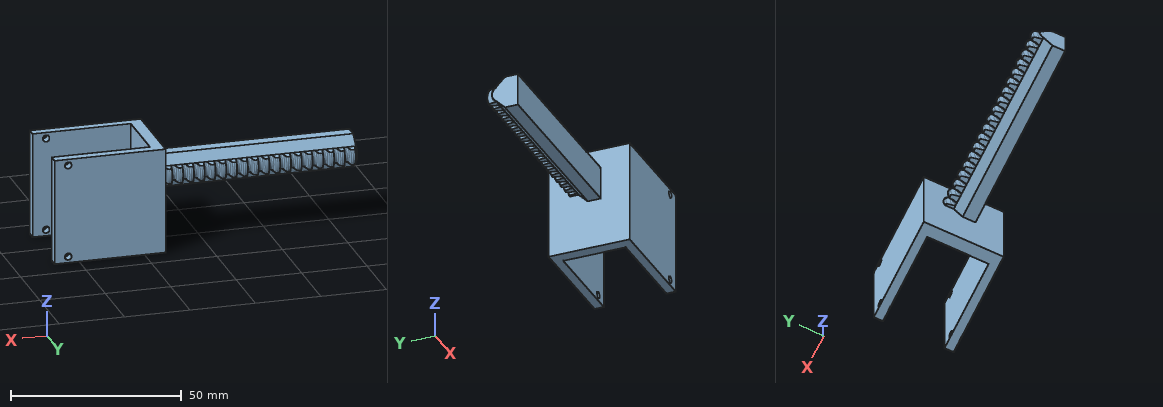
import cadquery as cq
import math

overall_length = 95.0
fork_width = 26.0
fork_height = 32.5
fork_length = 34.0
back_thickness = 4.0
arm_thickness = 3.0

pin_hole_diameter = 2.0
pin_hole_end_offset = 4.2
pin_hole_edge_offset = 1.9

bar_length = overall_length - fork_length
bar_height = 10.4
bar_back_y = 9.2
bar_side_depth = 4.2
bar_root_depth = 8.4
bar_center_z = 21.0

root_radius = 2.8
tooth_height = 2.1
tip_radius = root_radius + tooth_height
rack_face_width = 4.7
tooth_count = 19
tooth_pitch = bar_length / (tooth_count - 0.5)
tooth_tip_width = 1.2
tooth_root_width = 2.2
tooth_fillet = 0.5

bar_half_height = bar_height / 2
face_half_width = rack_face_width / 2
rack_axis_y = bar_back_y + bar_root_depth - root_radius
slope_end_y = rack_axis_y + math.sqrt(root_radius**2 - face_half_width**2)


def make_fork():
    block = cq.Workplane("XY").box(fork_length, fork_width, fork_height, centered=False)
    gap = (
        cq.Workplane("XY")
        .box(fork_length - back_thickness, fork_width - 2 * arm_thickness, fork_height, centered=False)
        .translate((back_thickness, arm_thickness, 0))
    )
    return block.cut(gap).translate((bar_length, 0, 0))


def make_pin_holes():
    hole_x = overall_length - pin_hole_end_offset
    hole_heights = (pin_hole_edge_offset, fork_height - pin_hole_edge_offset)
    return (
        cq.Workplane("XZ")
        .pushPoints([(hole_x, z) for z in hole_heights])
        .circle(pin_hole_diameter / 2)
        .extrude(-fork_width)
    )


def make_bar():
    side_end_y = bar_back_y + bar_side_depth
    return (
        cq.Workplane("YZ", origin=(0, 0, bar_center_z))
        .moveTo(bar_back_y, -bar_half_height)
        .lineTo(side_end_y, -bar_half_height)
        .lineTo(slope_end_y, -face_half_width)
        .threePointArc((rack_axis_y + root_radius, 0), (slope_end_y, face_half_width))
        .lineTo(side_end_y, bar_half_height)
        .lineTo(bar_back_y, bar_half_height)
        .close()
        .extrude(bar_length)
    )


def make_tooth(center_x):
    """Tooth with rounded tips and feet, turned about the rack axis and cut to the face width."""
    tip_half = tooth_tip_width / 2
    root_half = tooth_root_width / 2
    flank_angle = math.atan2(root_half - tip_half, tooth_height)
    setback = tooth_fillet / math.tan((math.pi / 2 + flank_angle) / 2)
    setback_x = setback * math.sin(flank_angle)
    setback_radial = setback * math.cos(flank_angle)
    profile = (
        cq.Workplane("XY", origin=(center_x, rack_axis_y, bar_center_z))
        .moveTo(-root_half - setback, 0)
        .lineTo(-root_half - setback, root_radius)
        .radiusArc((-root_half + setback_x, root_radius + setback_radial), -tooth_fillet)
        .lineTo(-tip_half - setback_x, tip_radius - setback_radial)
        .radiusArc((-tip_half + setback, tip_radius), tooth_fillet)
        .lineTo(tip_half - setback, tip_radius)
        .radiusArc((tip_half + setback_x, tip_radius - setback_radial), tooth_fillet)
        .lineTo(root_half - setback_x, root_radius + setback_radial)
        .radiusArc((root_half + setback, root_radius), -tooth_fillet)
        .lineTo(root_half + setback, 0)
        .close()
    )
    turned = profile.revolve(360, (0, 0, 0), (1, 0, 0))
    face_band = (
        cq.Workplane("XY", origin=(center_x, rack_axis_y, bar_center_z))
        .box(tooth_pitch, tip_radius, rack_face_width, centered=(True, False, True))
    )
    return turned.intersect(face_band)


result = make_fork().cut(make_pin_holes()).union(make_bar())
for index in range(tooth_count):
    result = result.union(make_tooth((index + 0.5) * tooth_pitch))